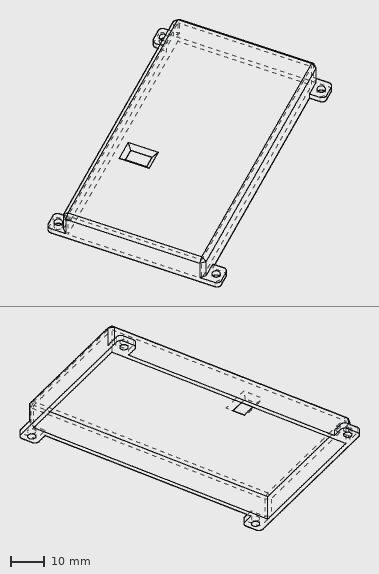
import cadquery as cq

case_width = 47.1
case_length = 86.9
case_height = 10.1
edge_chamfer = 1.5
wall = edge_chamfer

overall_width = 57.1
tab_length = 6.5
tab_thickness = 2.0
tab_corner_radius = 1.5
hole_diameter = 2.5
hole_inset_x = 2.5
hole_inset_y = 3.3

window_length_x = 6.95
window_length_y = 4.0
window_x = -11.5
window_y = -12.4
window_flare = wall


def chamfered_block(width, length, height):
    """Block on the base plane with bevelled upright and top edges."""
    block = cq.Workplane("XY").box(width, length, height, centered=(True, True, False))
    return block.edges("|Z or >Z").chamfer(edge_chamfer)


def mounting_strip(side):
    """Strip across one end of the case whose ends form two tabs."""
    center_y = side * (case_length - tab_length) / 2
    return (
        cq.Workplane("XY")
        .center(0, center_y)
        .rect(overall_width, tab_length)
        .extrude(tab_thickness)
        .edges("|Z")
        .fillet(tab_corner_radius)
    )


def cavity():
    """Plain rectangular hollow, open at the base."""
    return cq.Workplane("XY").box(
        case_width - 2 * wall,
        case_length - 2 * wall,
        case_height - wall,
        centered=(True, True, False),
    )


def flared_window():
    """Rectangular opening through the top plate, widening upwards."""
    return (
        cq.Workplane("XY", origin=(window_x, window_y, case_height - wall))
        .rect(window_length_x, window_length_y)
        .workplane(offset=wall)
        .rect(window_length_x + 2 * window_flare, window_length_y + 2 * window_flare)
        .loft(ruled=True)
    )


def screw_holes():
    """One through hole in each tab."""
    spacing_x = overall_width - 2 * hole_inset_x
    spacing_y = case_length - 2 * hole_inset_y
    return (
        cq.Workplane("XY")
        .rect(spacing_x, spacing_y, forConstruction=True)
        .vertices()
        .circle(hole_diameter / 2)
        .extrude(tab_thickness)
    )


case = chamfered_block(case_width, case_length, case_height)
for end in (-1, 1):
    case = case.union(mounting_strip(end))

result = case.cut(cavity()).cut(flared_window()).cut(screw_holes())